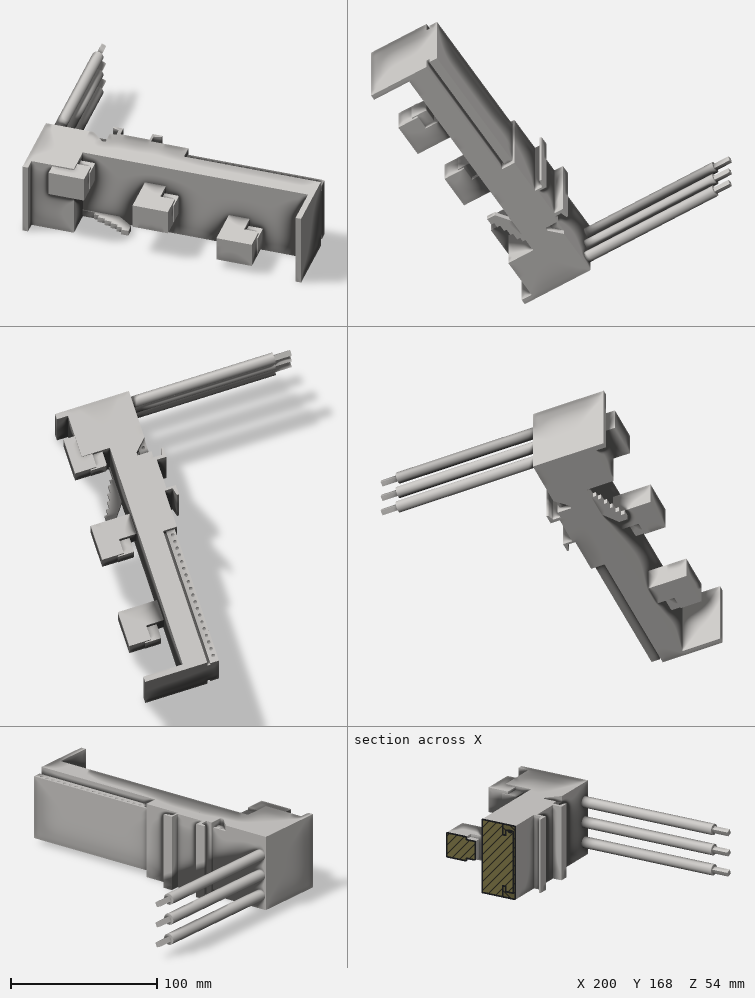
import cadquery as cq
import math

LENGTH = 200.0
HEIGHT = 54.0
WALL = 4.0
BLOCK_RIGHT = 34.5
BLOCK_FRONT = 8.0
PANEL_FRONT = 28.2
PANEL_BACK = 44.5
NECK_BACK = 46.8
RAIL_BACK = 53.0
RAIL_INSET = 4.2
NECK_INSET = 8.0
RAIL_CHAMFER = RAIL_BACK - PANEL_BACK
SHOULDER_END = 43.0
RAIL_START = SHOULDER_END - RAIL_CHAMFER

DIMPLE_DIAMETER = 2.5
DIMPLE_COUNT = 32
DIMPLE_PITCH = 5.0
DIMPLE_START = 40.5
DIMPLE_Y = 50.5

TERMINAL_COUNT = 3
TERMINAL_PITCH_X = 60.2
TERMINAL_DROP = 14.5
TERMINAL_LEFT = 18.8
TERMINAL_TOP = 53.0
TERMINAL_WIDTH = 25.5
TERMINAL_HEIGHT = 18.0
ARM_WIDTH = 15.0
STEP_Y = 15.5
CLAMP_GAP = 0.8
CLAMP_FRONT = 11.2
CLAMP_BACK = 22.8
CLAMP_INSET = 2.0
CLAMP_FILLET = 1.0

CABLE_COUNT = 3
CABLE_DIAMETER = 8.0
CABLE_X = 4.5
CABLE_BOTTOM_Z = 10.2
CABLE_PITCH = 14.8
SHEATH_END = 156.0
CORE_END = 168.0
CORE_SIDES = 4
CORE_DIAGONAL = 5.0
CORE_TURN = 21.0

FOOT_LEFT = 45.5
FOOT_RIGHT = 101.8
FOOT_BACK = 54.5
PAD_BACK = 56.2
LEFT_STEM = (50.0, 52.5)
RIGHT_STEM = (73.5, 75.0)
HOOK_REACH = 80.5
HOOK_BACK = 63.0
HOOK_TIP_Y = 61.5
HOOK_ROOT_Y = 60.2

LEVER_BOTTOM = 1.5
LEVER_TOP = 5.5
LEVER_STRIP_Y = 27.5
LEVER_TEETH = [
    (43.5, 25.2), (46.8, 22.8), (52.2, 20.8), (57.5, 18.8), (62.5, 16.5), (66.5, 14.0),
]
LEVER_TIP_X = 71.5
LEVER_TIP_Y = 20.2
LEVER_SLOPE_X = 60.8
ROOT_LEFT = 60.0
ROOT_RIGHT = 73.2
ROOT_TOP = 7.2
ROOT_DEPTH = 8.0


def box(x0, x1, y0, y1, z0, z1):
    """Box between two limits on each axis."""
    return cq.Workplane("XY").box(x1 - x0, y1 - y0, z1 - z0, centered=False).translate((x0, y0, z0))


def make_shell():
    """Left block, panel and right end wall in one profile."""
    outline = [
        (0, 0), (WALL, 0), (WALL, BLOCK_FRONT), (BLOCK_RIGHT, BLOCK_FRONT),
        (BLOCK_RIGHT, PANEL_FRONT), (LENGTH - WALL, PANEL_FRONT), (LENGTH - WALL, 0),
        (LENGTH, 0), (LENGTH, PANEL_BACK), (SHOULDER_END, PANEL_BACK),
        (RAIL_START, RAIL_BACK), (0, RAIL_BACK),
    ]
    return cq.Workplane("XY").polyline(outline).close().extrude(HEIGHT)


def make_rail():
    """T rail on the back of the panel, ending against the block's shoulder."""
    neck = box(RAIL_START, LENGTH, PANEL_BACK, NECK_BACK, NECK_INSET, HEIGHT - NECK_INSET)
    flange = box(RAIL_START, LENGTH, NECK_BACK, RAIL_BACK, RAIL_INSET, HEIGHT - RAIL_INSET)
    return neck.union(flange)


def make_dimples():
    """Row of balls centred on the flange's top face; they leave half-round dimples."""
    centers = [(DIMPLE_START + i * DIMPLE_PITCH, DIMPLE_Y) for i in range(DIMPLE_COUNT)]
    dimples = cq.Workplane("XY", origin=(0, 0, HEIGHT - RAIL_INSET)).pushPoints(centers)
    return dimples.sphere(DIMPLE_DIAMETER / 2, combine=False)


def make_terminal(left, top):
    """L-shaped block with a clamp set into its inner corner."""
    bottom = top - TERMINAL_HEIGHT
    right = left + TERMINAL_WIDTH
    arm_right = left + ARM_WIDTH
    arm = box(left, arm_right, 0, PANEL_FRONT, bottom, top)
    front = box(left, right, 0, STEP_Y, bottom, top)
    clamp = box(arm_right + CLAMP_GAP, right + CLAMP_GAP, CLAMP_FRONT, CLAMP_BACK,
                bottom + CLAMP_INSET, top - CLAMP_INSET)
    clamp = clamp.edges("|Z and >X and >Y").fillet(CLAMP_FILLET)
    return arm.union(front).union(clamp)


def make_lever():
    """Stepped blade in front of the panel, joined to a root set into the panel."""
    outline = [(BLOCK_RIGHT, PANEL_FRONT), (BLOCK_RIGHT, LEVER_STRIP_Y)]
    last_y = LEVER_STRIP_Y
    for x, y in LEVER_TEETH:
        outline += [(x, last_y), (x, y)]
        last_y = y
    outline += [(LEVER_TIP_X, last_y), (LEVER_TIP_X, LEVER_TIP_Y), (LEVER_SLOPE_X, PANEL_FRONT)]
    blade = cq.Workplane("XY", origin=(0, 0, LEVER_BOTTOM)).polyline(outline).close()
    return blade.extrude(LEVER_TOP - LEVER_BOTTOM).union(make_lever_root())


def make_lever_root():
    """Block that fills a recess in the panel, flush with the panel's front."""
    return box(ROOT_LEFT, ROOT_RIGHT, PANEL_FRONT, PANEL_FRONT + ROOT_DEPTH, LEVER_BOTTOM, ROOT_TOP)


def make_housing():
    """Shell, rail and terminals in one body, with the recess for the lever."""
    housing = make_shell().union(make_rail()).cut(make_dimples())
    for i in range(TERMINAL_COUNT):
        left = TERMINAL_LEFT + i * TERMINAL_PITCH_X
        housing = housing.union(make_terminal(left, TERMINAL_TOP - i * TERMINAL_DROP))
    return housing.cut(make_lever_root())


def make_foot():
    """Block with two hooks that wraps around the rail and slides along it."""
    outline = [
        (FOOT_LEFT, PANEL_BACK), (FOOT_RIGHT, PANEL_BACK), (FOOT_RIGHT, FOOT_BACK),
        (RIGHT_STEM[1], FOOT_BACK), (RIGHT_STEM[1], HOOK_ROOT_Y), (HOOK_REACH, HOOK_TIP_Y),
        (HOOK_REACH, HOOK_BACK), (RIGHT_STEM[0], HOOK_BACK), (RIGHT_STEM[0], PAD_BACK),
        (LEFT_STEM[1], PAD_BACK), (LEFT_STEM[1], HOOK_BACK), (FOOT_LEFT, HOOK_BACK),
        (FOOT_LEFT, HOOK_TIP_Y), (LEFT_STEM[0], HOOK_ROOT_Y), (LEFT_STEM[0], FOOT_BACK),
        (FOOT_LEFT, FOOT_BACK),
    ]
    return cq.Workplane("XY").polyline(outline).close().extrude(HEIGHT).cut(make_rail())


def make_cable(z):
    """Round sheath with a bare square core at its free end."""
    sheath = cq.Workplane("XZ", origin=(CABLE_X, RAIL_BACK, z)).circle(CABLE_DIAMETER / 2)
    sheath = sheath.extrude(RAIL_BACK - SHEATH_END)
    radius = CORE_DIAGONAL / 2
    corners = []
    for i in range(CORE_SIDES):
        angle = math.radians(CORE_TURN) + 2 * math.pi * i / CORE_SIDES
        corners.append((radius * math.cos(angle), radius * math.sin(angle)))
    core = cq.Workplane("XZ", origin=(CABLE_X, SHEATH_END, z)).polyline(corners).close()
    return sheath.union(core.extrude(SHEATH_END - CORE_END))


housing = make_housing()
foot = make_foot()
lever = make_lever()
cables = [make_cable(CABLE_BOTTOM_Z + i * CABLE_PITCH) for i in range(CABLE_COUNT)]

result = cq.Compound.makeCompound(
    [housing.val(), foot.val(), lever.val(), *[cable.val() for cable in cables]]
)